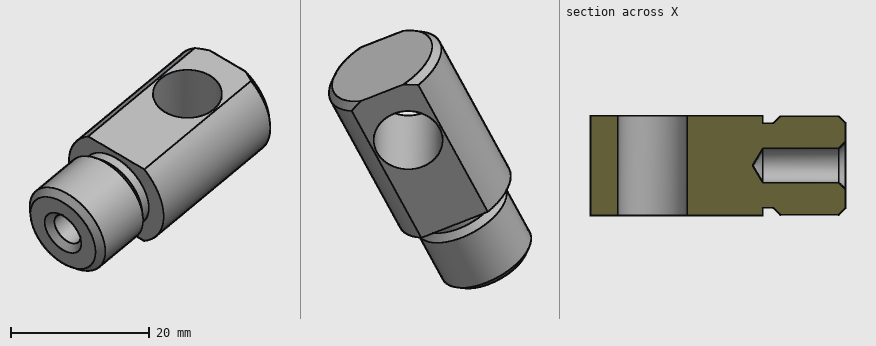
import cadquery as cq
import math

total_length = 37.0
body_length = 25.0
body_radius = 18.0 / 2
across_flats = 14.5
edge_chamfer = 1.0

spigot_radius = 14.35 / 2
undercut_radius = 12.35 / 2
undercut_width = 1.48
shoulder_y = total_length - body_length
undercut_end_y = shoulder_y - undercut_width

cross_hole_diameter = 10.0
cross_hole_from_back = 9.0

bore_radius = 4.92 / 2
countersink_radius = 6.92 / 2
bore_depth = 12.0
drill_point_angle = 118.0


def revolve_about_y(points):
    """Revolve a closed (radius, y) outline about the part axis."""
    return cq.Workplane("XY").polyline(points).close().revolve(360, (0, 0, 0), (0, 1, 0))


def make_body():
    """Round body with a chamfered back edge and two flats facing +Z and -Z."""
    round_body = revolve_about_y([
        (0, shoulder_y),
        (body_radius, shoulder_y),
        (body_radius, total_length - edge_chamfer),
        (body_radius - edge_chamfer, total_length),
        (0, total_length),
    ])
    flats_slab = cq.Workplane("XY").box(2 * total_length, 2 * total_length, across_flats)
    return round_body.intersect(flats_slab)


def make_spigot():
    """Spigot with a chamfered end and a tapered step down to the undercut."""
    return revolve_about_y([
        (0, 0),
        (spigot_radius - edge_chamfer, 0),
        (spigot_radius, edge_chamfer),
        (spigot_radius, undercut_end_y - (spigot_radius - undercut_radius)),
        (undercut_radius, undercut_end_y),
        (undercut_radius, shoulder_y),
        (0, shoulder_y),
    ])


def make_bore():
    """Drilled bore with a 45 degree countersink and a conical bottom."""
    point_depth = bore_radius / math.tan(math.radians(drill_point_angle / 2))
    return revolve_about_y([
        (0, 0),
        (countersink_radius, 0),
        (bore_radius, countersink_radius - bore_radius),
        (bore_radius, bore_depth),
        (0, bore_depth + point_depth),
    ])


cross_hole = (
    cq.Workplane("XY")
    .center(0, total_length - cross_hole_from_back)
    .circle(cross_hole_diameter / 2)
    .extrude(across_flats, both=True)
)

result = make_body().union(make_spigot()).cut(make_bore()).cut(cross_hole)